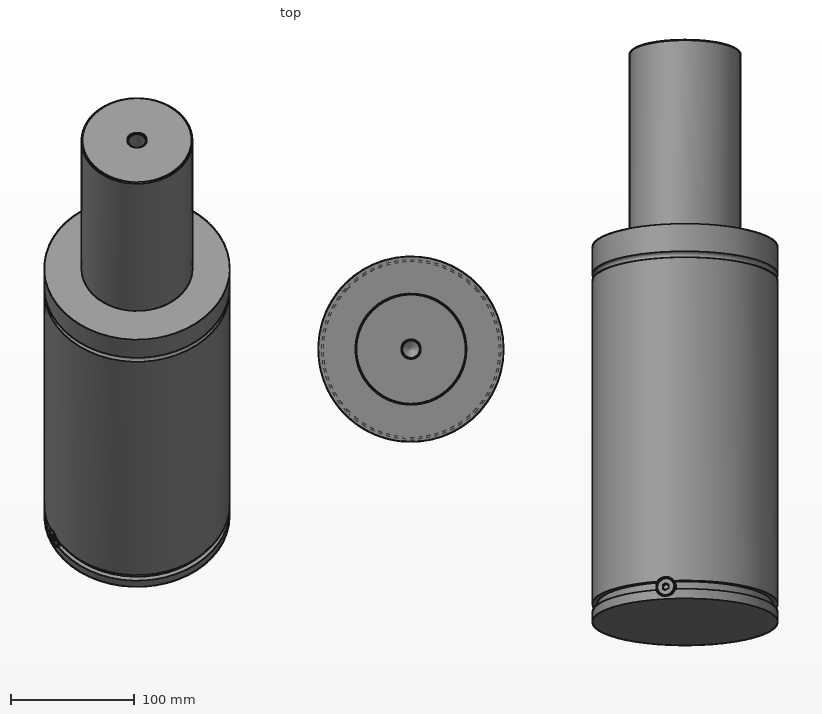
import cadquery as cq
import math

body_diameter = 150.0
rod_diameter = 90.0
body_height = 313.0
total_height = 475.0
body_radius = body_diameter / 2
rod_chamfer = 1.0

lower_groove_bottom = 8.0
lower_groove_height = 7.0
lower_groove_depth = 4.0

upper_groove_radius = 2.5
upper_groove_center_height = body_height - 25.5

rod_hole_diameter = 14.0
rod_hole_mouth_diameter = 16.0
rod_hole_depth = 25.0
drill_tip_angle = 118.0

port_center_height = 10.5
port_seat_diameter = 16.0
port_seat_depth = 1.5
plug_diameter = 14.0
plug_face_depth = 0.5
socket_across_flats = 5.0
socket_bottom_depth = 4.0


def make_cylinders():
    body = cq.Workplane("XY").circle(body_diameter / 2).extrude(body_height)
    rod = cq.Workplane("XY").circle(rod_diameter / 2).extrude(total_height)
    return body.union(rod.faces(">Z").chamfer(rod_chamfer))


def port_sketch(depth):
    """Sketch plane of the port at a depth below the -Y side, facing inwards, with its x axis along Z."""
    origin = (0, depth - body_radius, port_center_height)
    return cq.Workplane(cq.Plane(origin=origin, xDir=(0, 0, 1), normal=(0, 1, 0)))


def make_lower_groove():
    groove = (
        cq.Workplane("XY", origin=(0, 0, lower_groove_bottom))
        .circle(body_radius)
        .circle(body_radius - lower_groove_depth)
        .extrude(lower_groove_height)
    )
    return groove.cut(port_sketch(0).circle(port_seat_diameter / 2).extrude(body_radius))


def make_upper_groove():
    return (
        cq.Workplane("XZ", origin=(body_radius, 0, upper_groove_center_height))
        .circle(upper_groove_radius)
        .revolve(360, (-body_radius, 0, 0), (-body_radius, 1, 0))
    )


def make_rod_hole():
    hole_radius = rod_hole_diameter / 2
    mouth_radius = rod_hole_mouth_diameter / 2
    tip_length = hole_radius / math.tan(math.radians(drill_tip_angle / 2))
    hole_bottom = total_height - rod_hole_depth
    return (
        cq.Workplane("XZ")
        .moveTo(0, total_height)
        .lineTo(mouth_radius, total_height)
        .lineTo(hole_radius, total_height - (mouth_radius - hole_radius))
        .lineTo(hole_radius, hole_bottom)
        .lineTo(0, hole_bottom - tip_length)
        .close()
        .revolve(360, (0, 0, 0), (0, 1, 0))
    )


def make_port_recess():
    """Ring-shaped recess around the plug, the space in front of the plug, and the hex socket."""
    seat = port_sketch(0).circle(port_seat_diameter / 2).extrude(port_seat_depth)
    plug = port_sketch(plug_face_depth).circle(plug_diameter / 2).extrude(port_seat_depth - plug_face_depth)
    socket_across_corners = socket_across_flats / math.cos(math.radians(30))
    socket = port_sketch(0).polygon(6, socket_across_corners).extrude(socket_bottom_depth)
    return seat.cut(plug).union(socket)


result = (
    make_cylinders()
    .cut(make_lower_groove())
    .cut(make_upper_groove())
    .cut(make_rod_hole())
    .cut(make_port_recess())
)